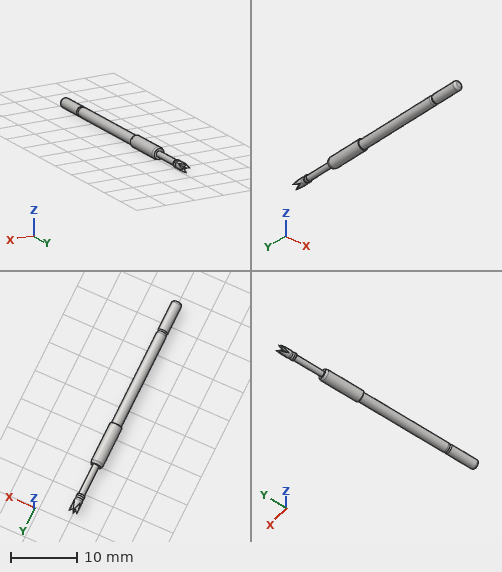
import cadquery as cq
import math

total_length = 37.3

head_radius = 0.65
neck_radius = 0.58
neck_start = 1.98
neck_bottom = 2.32
neck_end = 2.65
head_end = 3.0
head_end_radius = 0.62

tooth_count = 4
valley_depth = 0.7
valley_slope = 1.46

stem_radius = 0.5

collar_start = 8.25
collar_end = 15.35
collar_radius = 1.0
collar_lead_length = 0.45
collar_lead_height = 0.14

barrel_radius = 0.825
crimp_radius = 0.725
crimp_start = 31.5
crimp_bottom = 31.85
crimp_end = 32.1
tail_fillet_radius = 0.4


def probe_body():
    """Solid of revolution from the crown tips to the rounded tail."""
    profile = [
        (0, 0),
        (head_radius, 0),
        (head_radius, neck_start),
        (neck_radius, neck_bottom),
        (head_radius, neck_end),
        (head_end_radius, head_end),
        (stem_radius, head_end),
        (stem_radius, collar_start),
        (collar_radius - collar_lead_height, collar_start),
        (collar_radius, collar_start + collar_lead_length),
        (collar_radius, collar_end),
        (barrel_radius, collar_end),
        (barrel_radius, crimp_start),
        (crimp_radius, crimp_bottom),
        (barrel_radius, crimp_end),
        (barrel_radius, total_length),
        (0, total_length),
    ]
    outline = [(radius, -depth) for radius, depth in profile]
    body = cq.Workplane("XY").polyline(outline).close().revolve(360, (0, 0), (0, 1))
    return body.faces("<Y").edges().fillet(tail_fillet_radius)


def valley_cutter(angle):
    """V-shaped wedge along +X whose bottom line falls outward, turned about the probe axis."""
    flank_slope = valley_slope + valley_depth / (head_radius * math.sin(math.pi / tooth_count))
    reach = 2 * head_radius
    clearance = head_radius

    def section(x):
        bottom = valley_depth + valley_slope * x
        half_width = (bottom + clearance) / flank_slope
        points = [(x, -bottom, 0), (x, clearance, half_width), (x, clearance, -half_width)]
        return cq.Wire.makePolygon([cq.Vector(*p) for p in points], close=True)

    wedge = cq.Solid.makeLoft([section(0), section(reach)], True)
    return cq.Workplane(wedge).rotate((0, 0, 0), (0, 1, 0), angle)


result = probe_body()
tooth_pitch = 360 / tooth_count
for index in range(tooth_count):
    result = result.cut(valley_cutter((index + 0.5) * tooth_pitch))
result = result.translate((0, total_length / 2, 0))